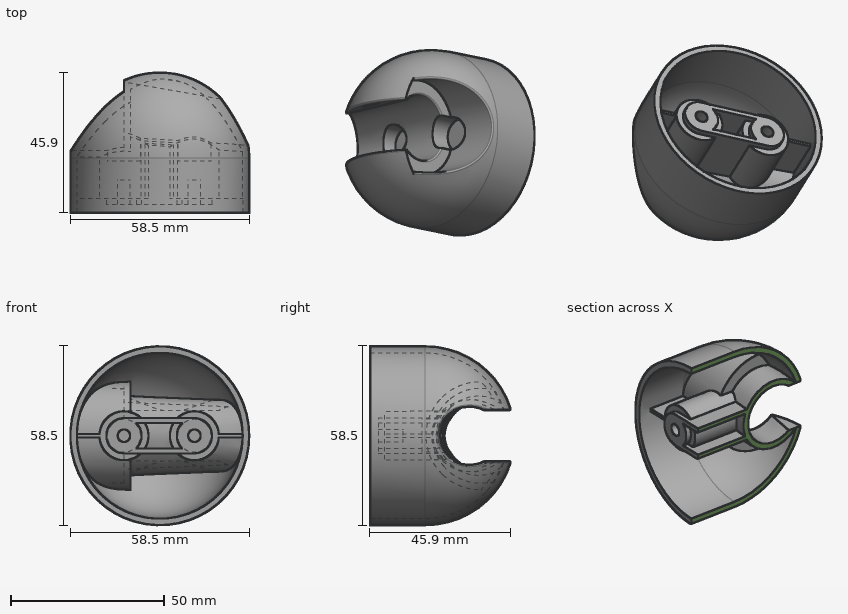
import cadquery as cq
import math

outer_radius = 29.25
wall = 2.15
inner_radius = outer_radius - wall
skirt_length = 18.0

seat_x = -11.7
entry_radius = 15.5
entry_axis_y = 35.9
bore_seat_y = 35.6
bore_seat_radius = 10.9
bore_tilt = math.radians(6.0)
bore_taper = math.radians(2.35)
bore_length = 50.0
bore_lead = 1.5

slot_half_width = 8.3
slot_floor_y = 33.0

boss_spacing = 23.0
boss_positions = (seat_x, seat_x + boss_spacing)
boss_radius = 8.0
boss_face_y = 4.7
pad_face_y = 2.75
pad_radius = 5.75
bar_thickness = 1.65
screw_radius = 2.05
screw_depth = 8.0
recess_radius = 5.4
recess_floor_y = 17.0
web_thickness = 1.0

edge_fillet = 0.5

reach = 2 * outer_radius
tolerance = 0.01


def dome_solid(radius):
    """Cylinder from Y = 0 with a hemispherical end, turned about the Y axis."""
    return (
        cq.Workplane("XY")
        .lineTo(radius, 0)
        .lineTo(radius, skirt_length)
        .radiusArc((0, skirt_length + radius), -radius)
        .close()
        .revolve(360, (0, 0, 0), (0, 1, 0))
    )


def y_cylinder(x, radius, y_start, y_end):
    """Cylinder parallel to Y."""
    return cq.Workplane(
        cq.Solid.makeCylinder(radius, y_end - y_start, cq.Vector(x, y_start, 0), cq.Vector(0, 1, 0))
    )


def block(x_span, y_start, y_end, z_span):
    """Box centred in X and Z."""
    return cq.Workplane("XY").box(x_span, y_end - y_start, z_span).translate((0, (y_start + y_end) / 2, 0))


def entry_cylinder(radius, x_end):
    """Straight entry from outside the -X side up to x_end."""
    start = cq.Vector(-reach, entry_axis_y, 0)
    return cq.Workplane(cq.Solid.makeCylinder(radius, x_end + reach, start, cq.Vector(1, 0, 0)))


def bore_cone(offset):
    """Tapered bore, grown outwards by offset for the tube around it."""
    axis = cq.Vector(math.cos(bore_tilt), -math.sin(bore_tilt), 0)
    start = cq.Vector(seat_x, bore_seat_y, 0) - axis * bore_lead
    start_radius = bore_seat_radius + offset + bore_lead * math.tan(bore_taper)
    end_radius = start_radius - bore_length * math.tan(bore_taper)
    return cq.Workplane(cq.Solid.makeCone(start_radius, end_radius, bore_length, start, axis))


def socket_walls():
    """Tube walls around the entry and the tapered bore."""
    return entry_cylinder(entry_radius + wall, seat_x + wall).union(bore_cone(wall))


def inner_supports():
    """Bosses, raised pad joined by two bars, and the webs out to the shell."""
    deep_y = bore_seat_y - bore_seat_radius
    bars = block(boss_spacing, pad_face_y, deep_y, 2 * pad_radius).cut(
        block(boss_spacing, 0, reach, 2 * (pad_radius - bar_thickness))
    )
    supports = bars.translate((sum(boss_positions) / 2, 0, 0))
    web = block(outer_radius, boss_face_y, deep_y, web_thickness)
    for x in boss_positions:
        web_shift = math.copysign(outer_radius / 2, x)
        supports = (
            supports.union(y_cylinder(x, boss_radius, boss_face_y, deep_y))
            .union(y_cylinder(x, pad_radius, pad_face_y, deep_y))
            .union(web.translate((x + web_shift, 0, 0)))
        )
    return supports


def is_socket_rim(edge):
    """True where the socket or slot breaks through the dome, and around the seat's inner rim."""
    box = edge.BoundingBox()
    dome_centre = cq.Vector(0, skirt_length, 0)
    on_dome = abs((edge.positionAt(0.5) - dome_centre).Length - outer_radius) < tolerance
    if box.xlen < tolerance and abs(box.xmin - seat_x) < tolerance:
        is_entry_corner = box.zlen > 2 * entry_radius - tolerance
        return not on_dome and not is_entry_corner
    return on_dome and box.ymin > skirt_length + tolerance


def outer_form():
    """Solid outside shape with the socket and slot cut and their rims rounded."""
    slot = block(2 * reach, slot_floor_y, reach, 2 * slot_half_width)
    form = dome_solid(outer_radius).cut(entry_cylinder(entry_radius, seat_x)).cut(bore_cone(0)).cut(slot)
    rims = [edge for edge in form.edges().vals() if is_socket_rim(edge)]
    return form.newObject(rims).fillet(edge_fillet)


def hollow_interior():
    """Empty space inside the shell, around the socket walls and the supports."""
    return dome_solid(inner_radius).cut(socket_walls()).cut(inner_supports())


def boss_holes(x):
    """Blind screw hole from the pad face and the coring from the socket side."""
    screw_hole = y_cylinder(x, screw_radius, pad_face_y, pad_face_y + screw_depth)
    recess = y_cylinder(x, recess_radius, recess_floor_y, entry_axis_y)
    return (screw_hole, recess)


result = outer_form().cut(hollow_interior())
for hole_x in boss_positions:
    for hole in boss_holes(hole_x):
        result = result.cut(hole)